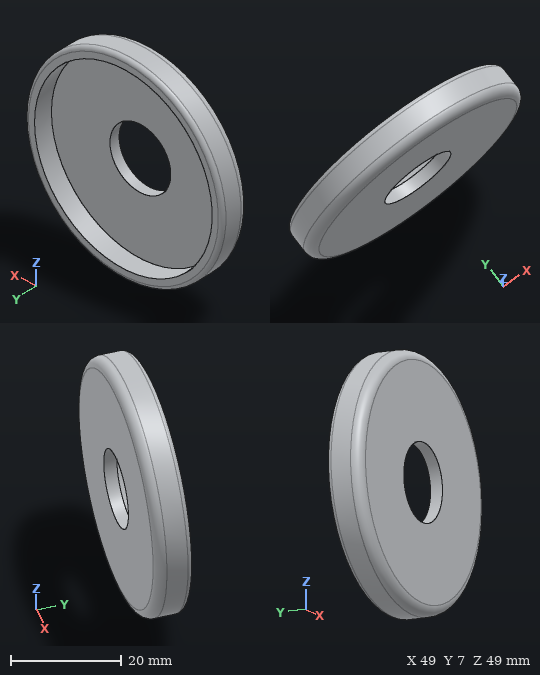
import cadquery as cq

outer_diameter = 49.0
thickness = 7.0
bore_diameter = 15.0
front_edge_radius = 2.0
back_edge_radius = 1.0

web_thickness = 2.5
rim_thickness = 2.5
recess_diameter = outer_diameter - 2 * rim_thickness
recess_depth = thickness - web_thickness


def cylinder_from_back(diameter, depth):
    """Cylinder that starts on the back face and runs toward the front."""
    back_plane = cq.Workplane("XZ", origin=(0, thickness / 2, 0))
    return back_plane.circle(diameter / 2).extrude(depth)


disc = cylinder_from_back(outer_diameter, thickness)
disc = disc.faces("<Y").edges().fillet(front_edge_radius)
disc = disc.faces(">Y").edges().fillet(back_edge_radius)

recess = cylinder_from_back(recess_diameter, recess_depth)
bore = cylinder_from_back(bore_diameter, thickness)

result = disc.cut(recess).cut(bore)